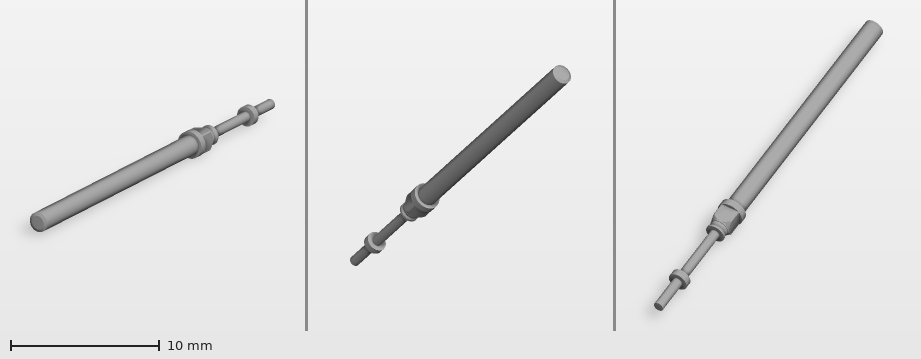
import cadquery as cq

total_length = 28.4
barrel_diameter = 1.4
flange_diameter = 1.9
shaft_diameter = 0.7
collar_length = 0.5

tip_diameter = 0.97
tip_length = 0.1

flange_start = 18.52
flange_end = flange_start + collar_length
square_width = barrel_diameter
square_corner_diameter = 1.87
square_end = 20.33
square_chamfer_length = 0.3
rim_length = 0.09
rim_end = square_end + rim_length

seat_diameter = 1.3
groove_diameter = 1.16
groove_position = 20.68
ridge_start = 20.82
ridge_end = 21.0

neck_diameter = 0.68
neck_foot_length = 0.1
neck_foot_end = ridge_end + neck_foot_length
neck_end = 21.5
shaft_collar_diameter = barrel_diameter
shaft_collar_start = 25.35
shaft_collar_end = shaft_collar_start + collar_length


def cone(start_diameter, end_diameter, start, end):
    """Solid along Y that changes evenly from one diameter to the other."""
    return (
        cq.Workplane("XY")
        .moveTo(0, start)
        .lineTo(start_diameter / 2, start)
        .lineTo(end_diameter / 2, end)
        .lineTo(0, end)
        .close()
        .revolve(360, (0, 0, 0), (0, 1, 0))
    )


def rod(diameter, start, end):
    """Round bar along Y from start to end."""
    return cone(diameter, diameter, start, end)


def barrel():
    """Long barrel with a bevelled contact tip and the stop flange."""
    tip = cone(tip_diameter, barrel_diameter, 0, tip_length)
    body = rod(barrel_diameter, tip_length, flange_start)
    flange = rod(flange_diameter, flange_start, flange_end)
    return tip.union(body).union(flange)


def square():
    """Square with rounded corners, a conical chamfer and a short round rim."""
    length = square_end - flange_end
    chamfer_start = square_end - square_chamfer_length
    block = cq.Workplane("XY").box(square_width, length, square_width)
    block = block.translate((0, flange_end + length / 2, 0))
    corner_round = rod(square_corner_diameter, flange_end, chamfer_start)
    chamfer = cone(square_corner_diameter, barrel_diameter, chamfer_start, square_end)
    rim = rod(barrel_diameter, square_end, rim_end)
    return block.intersect(corner_round.union(chamfer)).union(rim)


def head():
    """Rounded seat, groove and ridge."""
    seat_bulge = (seat_diameter / 2, (rim_end + groove_position) / 2)
    seat = (
        cq.Workplane("XY")
        .moveTo(0, rim_end)
        .lineTo(seat_diameter / 2, rim_end)
        .threePointArc(seat_bulge, (groove_diameter / 2, groove_position))
        .lineTo(0, groove_position)
        .close()
        .revolve(360, (0, 0, 0), (0, 1, 0))
    )
    groove_flank = cone(groove_diameter, barrel_diameter, groove_position, ridge_start)
    ridge = rod(barrel_diameter, ridge_start, ridge_end)
    return seat.union(groove_flank).union(ridge)


def shaft():
    """Thin shaft that narrows to a neck at the head and carries a collar."""
    neck_foot = rod(shaft_diameter, ridge_end, neck_foot_end)
    neck = cone(shaft_diameter, neck_diameter, neck_foot_end, neck_end)
    bar = rod(shaft_diameter, neck_end, total_length)
    collar = rod(shaft_collar_diameter, shaft_collar_start, shaft_collar_end)
    return neck_foot.union(neck).union(bar).union(collar)


result = barrel().union(square()).union(head()).union(shaft())